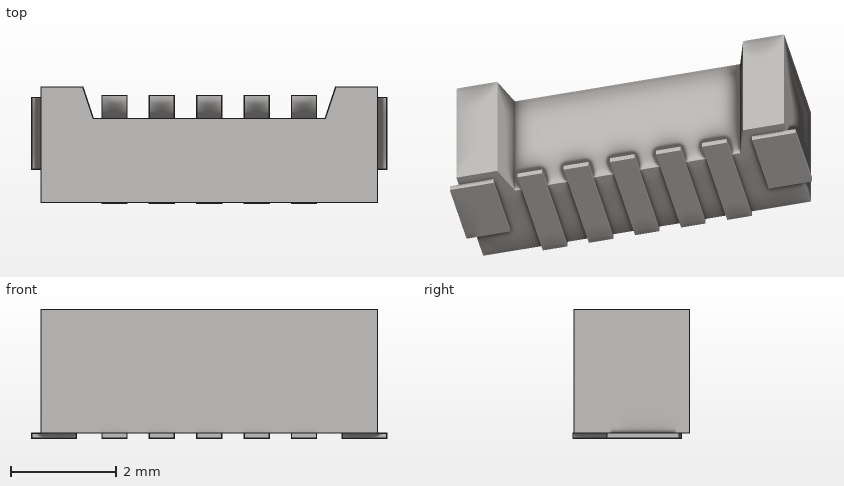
import cadquery as cq

foot_thickness = 0.1

housing_length = 6.4
housing_depth = 2.2
total_height = 2.45
housing_height = total_height - foot_thickness

recess_depth = 0.6
recess_rear_width = 4.8
recess_floor_width = 4.4

contact_count = 5
contact_pitch = 0.9
contact_width = 0.48
contact_length = 2.06
contact_front_overhang = 0.02

tab_span = 6.75
tab_width = 0.85
tab_length = 1.37
tab_front_offset = 0.63


def make_housing():
    """Rectangular block with a tapered recess along its rear face."""
    half_length = housing_length / 2
    half_rear = recess_rear_width / 2
    half_floor = recess_floor_width / 2
    recess_floor = housing_depth - recess_depth
    outline = [
        (-half_length, 0),
        (half_length, 0),
        (half_length, housing_depth),
        (half_rear, housing_depth),
        (half_floor, recess_floor),
        (-half_floor, recess_floor),
        (-half_rear, housing_depth),
        (-half_length, housing_depth),
    ]
    return (
        cq.Workplane("XY")
        .workplane(offset=foot_thickness)
        .polyline(outline)
        .close()
        .extrude(housing_height)
    )


def make_foot(center_x, front_y, width, length):
    """Flat solder foot lying on Z = 0."""
    return (
        cq.Workplane("XY")
        .box(width, length, foot_thickness, centered=(True, False, False))
        .translate((center_x, front_y, 0))
    )


def make_contact(index):
    """Signal contact at the given place in the row."""
    center_x = (index - (contact_count - 1) / 2) * contact_pitch
    return make_foot(center_x, -contact_front_overhang, contact_width, contact_length)


def make_anchor_tab(side):
    """Anchor tab at the left (-1) or right (+1) end."""
    center_x = side * (tab_span - tab_width) / 2
    return make_foot(center_x, tab_front_offset, tab_width, tab_length)


housing = make_housing()
contacts = [make_contact(index) for index in range(contact_count)]
anchor_tabs = [make_anchor_tab(side) for side in (-1, 1)]

result = cq.Compound.makeCompound(
    [
        housing.val(),
        *[contact.val() for contact in contacts],
        *[tab.val() for tab in anchor_tabs],
    ]
)